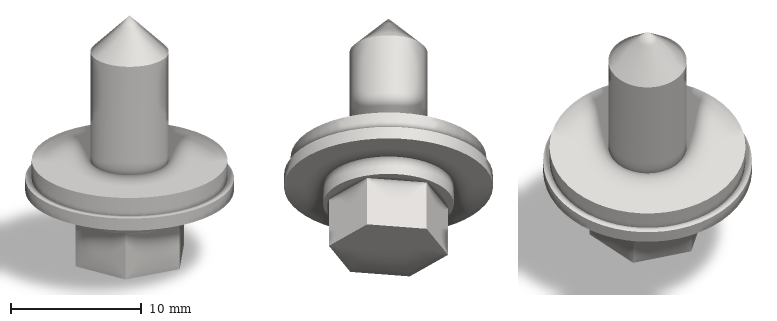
import cadquery as cq
import math

hex_sides = 6
hex_across_flats = 8.0
hex_height = 4.0
hex_turn = 2.75

collar_diameter = 10.0
collar_height = 1.5
flange_diameter = 16.0
flange_height = 1.0
washer_diameter = 15.0
washer_height = 1.5
shank_diameter = 6.0
shank_height = 9.0

point_angle = 90.0
point_height = shank_diameter / 2 / math.tan(math.radians(point_angle / 2))


def make_head():
    """Hexagonal prism standing on Z = 0."""
    across_corners = hex_across_flats / math.cos(math.pi / hex_sides)
    corner_along_y = 90.0
    head = cq.Workplane("XY").polygon(hex_sides, across_corners).extrude(hex_height)
    return head.rotate((0, 0, 0), (0, 0, 1), corner_along_y + hex_turn)


def make_turned_body():
    """Collar, flange, washer step, shank and point as one revolved profile."""
    steps = [
        (collar_diameter, collar_height),
        (flange_diameter, flange_height),
        (washer_diameter, washer_height),
        (shank_diameter, shank_height),
    ]
    z = hex_height
    profile = cq.Workplane("XZ").moveTo(0, z)
    for diameter, height in steps:
        profile = profile.lineTo(diameter / 2, z)
        z += height
        profile = profile.lineTo(diameter / 2, z)
    profile = profile.lineTo(0, z + point_height).close()
    return profile.revolve(360, (0, 0, 0), (0, 1, 0))


result = make_head().union(make_turned_body())